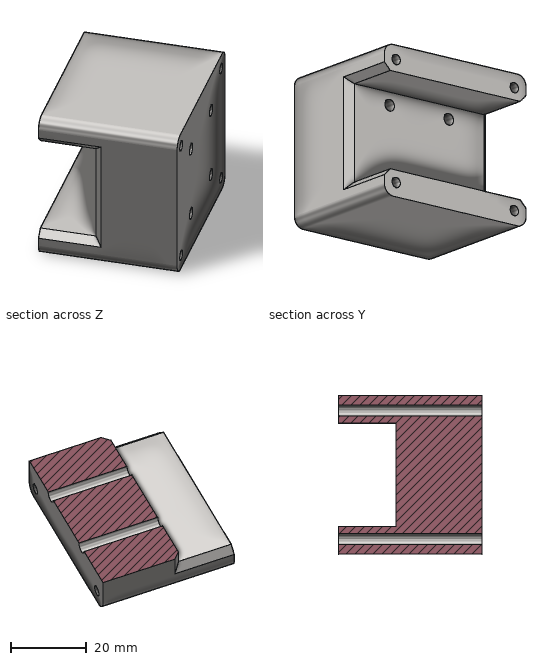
import cadquery as cq

length_x = 38.0
width_y = 48.0
height_z = 42.0
edge_radius = 3.0

slot_depth = 15.2
slot_height = 27.2
slot_chamfer = 2.0

corner_hole_diameter = 2.8
corner_hole_inset = 4.0

floor_hole_diameter = 3.2
floor_hole_spacing = 20.0


def make_block():
    """Block from X = 0 to length_x, centred on Y and Z, with its X edges rounded."""
    block = cq.Workplane("XY").box(length_x, width_y, height_z, centered=(False, True, True))
    return block.edges("|X").fillet(edge_radius)


def make_slot():
    """Slot through Y, open at X = 0."""
    return cq.Workplane("XY").box(slot_depth, width_y, slot_height, centered=(False, True, True))


def make_slot_mouth(side):
    """Tapered mouth that widens the slot towards the Y face on the given side (+1 or -1)."""
    inner = cq.Workplane("XZ", origin=(0, side * (width_y / 2 - slot_chamfer), 0))
    outer_depth = slot_depth + slot_chamfer
    outer_height = slot_height + 2 * slot_chamfer
    return (
        inner.center(slot_depth / 2, 0)
        .rect(slot_depth, slot_height)
        .workplane(offset=-side * slot_chamfer)
        .center(slot_chamfer / 2, 0)
        .rect(outer_depth, outer_height)
        .loft(ruled=True)
    )


def make_holes(diameter, spacing_y, spacing_z):
    """Four cylinders along the full X length, in a rectangular pattern about the X axis."""
    return (
        cq.Workplane("YZ")
        .rect(spacing_y, spacing_z, forConstruction=True)
        .vertices()
        .circle(diameter / 2)
        .extrude(length_x)
    )


result = make_block().cut(make_slot())
for side in (1, -1):
    result = result.cut(make_slot_mouth(side))
result = result.cut(
    make_holes(
        corner_hole_diameter,
        width_y - 2 * corner_hole_inset,
        height_z - 2 * corner_hole_inset,
    )
)
result = result.cut(make_holes(floor_hole_diameter, floor_hole_spacing, floor_hole_spacing))